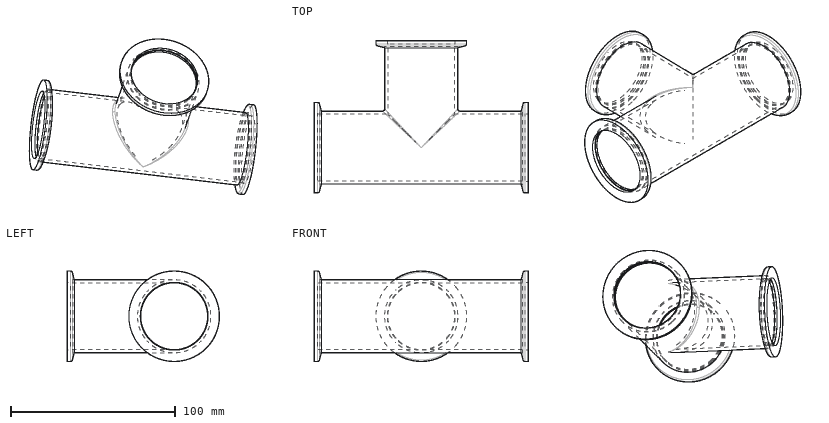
import cadquery as cq
import math

run_length = 130.0
branch_length = run_length / 2

flange_diameter = 55.0
flange_width = 4.4
back_diameter = 44.7
cone_angle = 15.0
rim_round = 1.2
recess_diameter = 41.2
recess_depth = 2.1
socket_depth = 3.5

tube_diameter = 44.5
bore_diameter = 40.5
junction_fillet = 1.3

tube_reach = branch_length - socket_depth
cone_rise = (flange_diameter - back_diameter) / 2 * math.tan(math.radians(cone_angle))


def crossed_cylinders(diameter):
    """Solid run and branch of one diameter, with their axes crossing at the origin."""
    run = cq.Workplane("YZ").circle(diameter / 2).extrude(tube_reach, both=True)
    branch = cq.Workplane("XZ").circle(diameter / 2).extrude(-tube_reach)
    return run.union(branch)


def make_tee():
    """Hollow tee with a fillet along the seam between the run and the branch."""
    outside = crossed_cylinders(tube_diameter).edges("%ELLIPSE").fillet(junction_fillet)
    return outside.cut(crossed_cylinders(bore_diameter))


def make_branch_flange():
    """Ring on the branch: flat face, rounded rim, conical back, front recess and tube socket."""
    back = branch_length - flange_width
    profile = [
        (recess_diameter / 2, branch_length),
        (flange_diameter / 2, branch_length),
        (flange_diameter / 2, back + cone_rise),
        (back_diameter / 2, back),
        (tube_diameter / 2, back),
        (tube_diameter / 2, tube_reach),
        (bore_diameter / 2, tube_reach),
        (bore_diameter / 2, branch_length - recess_depth),
        (recess_diameter / 2, branch_length - recess_depth),
    ]
    ring = cq.Workplane("XY").polyline(profile).close().revolve(360, (0, 0), (0, 1))
    rim_corner = cq.selectors.RadiusNthSelector(-1)
    return ring.edges(rim_corner).edges("<Y").fillet(rim_round)


tee = make_tee()

flanges = [make_branch_flange().rotate((0, 0, 0), (0, 0, 1), turn) for turn in (-90, 0, 90)]

result = cq.Compound.makeCompound([tee.solids().val(), *[flange.solids().val() for flange in flanges]])